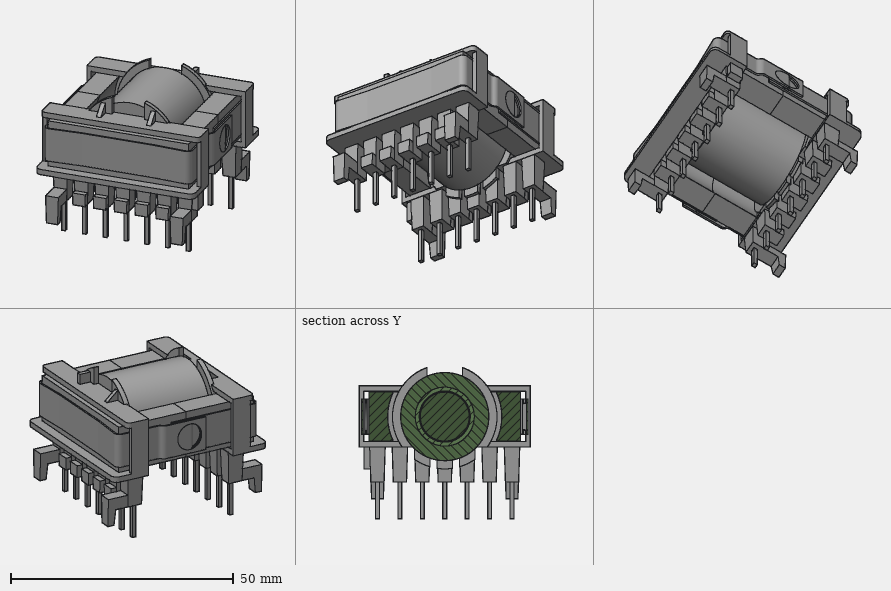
import cadquery as cq
import math


CORE_WIDTH = 34.1
CORE_HEIGHT = 11.1
HALF_CORE_LENGTH = 17.5
CENTER_LEG_DIAMETER = 11.1
WINDOW_DIAMETER = 25.6
WINDOW_DEPTH = 11.8

BORE_DIAMETER = 11.4
TUBE_WALL = 1.0
TUBE_DIAMETER = BORE_DIAMETER + 2 * TUBE_WALL
FLANGE_DIAMETER = 23.5
FLANGE_INNER_Y = 10.5
FLANGE_OUTER_Y = 11.7
WIRE_NOTCH_WIDTH = 7.9

WINDING_DIAMETER = 19.9

FRAME_WIDTH = 38.5
FRAME_INNER_Y = 11.0
WALL = 1.3
POST_WIDTH = 1.05
POST_OUTER_Y = 15.45
TOP_BAR_OUTER_Y = 16.45
TOP_BAR_CORNER_RADIUS = TOP_BAR_OUTER_Y - POST_OUTER_Y
PLATE_OUTER_Y = 20.0
PLATE_CORNER_RADIUS = 1.5
CORE_TOP_GAP = 0.1
PLATE_TOP_Z = -CORE_HEIGHT / 2
PLATE_BOTTOM_Z = PLATE_TOP_Z - WALL
TOP_BAR_BOTTOM_Z = CORE_HEIGHT / 2 + CORE_TOP_GAP
TOP_BAR_TOP_Z = TOP_BAR_BOTTOM_Z + WALL

RIB_X = 6.1
RIB_WIDTH = 1.1
RIB_OUTER_Y = 14.45
RIB_TOP_Z = 9.4

PINS_PER_ROW = 7
PIN_PITCH = 5.05
PIN_SIZE = 0.9
PIN_Y = 12.7
PIN_BOTTOM_Z = -22.95
BLOCK_WIDTH = 3.5
BLOCK_DEPTH = 4.0
BLOCK_Y = 13.1
BLOCK_BOTTOM_Z = -14.7
DRAFT_ANGLE = 1.8
STEP_TOP_Z = -11.8
LEDGE_INSET = 0.05
STEP_OUTER_Y = 16.3
FOOT_OUTER_Y = PLATE_OUTER_Y
FOOT_BOTTOM_Z = -18.5
FOOT_ROOT_THICKNESS = 2.0
FOOT_TIP_THICKNESS = 1.6
KEY_OUTER_X = 18.15
KEY_DEPTH = 3.2

CLIP_HEIGHT = 8.0
CLIP_THICKNESS = 0.4
CLIP_ARM_X = 17.7
CLIP_ARM_END_Y = 4.2
CLIP_BACK_Y = HALF_CORE_LENGTH + CLIP_THICKNESS / 2
CLIP_FLAT_HALF_WIDTH = 8.7
CLIP_CORNER_RISE = 0.5
CLIP_BEND_RADIUS = 1.0
JOG = 0.85
ARM_JOG_Y = 6.9
OUTER_ARM_X = CLIP_ARM_X + JOG

LATCH_DIAMETER = 6.2
LATCH_JOG_Y = -0.85
LATCH_BEND_RADIUS = 0.3

PIN_XS = [(i - (PINS_PER_ROW - 1) / 2) * PIN_PITCH for i in range(PINS_PER_ROW)]
CORNER_XS = (PIN_XS[0], PIN_XS[-1])


def span_box(x0, x1, y0, y1, z0, z1):
    """Box between two opposite corners."""
    return cq.Workplane("XY").box(x1 - x0, y1 - y0, z1 - z0, centered=False).translate((x0, y0, z0))


def cylinder_along_y(diameter, y0, y1):
    return cq.Workplane("XZ", origin=(0, y0, 0)).circle(diameter / 2).extrude(y0 - y1)


def turned(body):
    """Copy of a body turned half a revolution about Z."""
    return body.rotate((0, 0, 0), (0, 0, 1), 180)


def make_core_half():
    """E-shaped half on the +Y side with a round centre leg."""
    block = span_box(-CORE_WIDTH / 2, CORE_WIDTH / 2, 0, HALF_CORE_LENGTH, -CORE_HEIGHT / 2, CORE_HEIGHT / 2)
    window = cylinder_along_y(WINDOW_DIAMETER, 0, WINDOW_DEPTH)
    leg = cylinder_along_y(CENTER_LEG_DIAMETER, 0, HALF_CORE_LENGTH)
    return block.cut(window).union(leg)


def make_winding():
    coil = cylinder_along_y(WINDING_DIAMETER, -FLANGE_INNER_Y, FLANGE_INNER_Y)
    return coil.cut(cylinder_along_y(TUBE_DIAMETER, -FLANGE_INNER_Y, FLANGE_INNER_Y))


def make_frame():
    """Base plate, two posts and top bar around the back of the core, on the +Y side."""
    half_width = FRAME_WIDTH / 2
    plate = span_box(-half_width, half_width, FRAME_INNER_Y, PLATE_OUTER_Y, PLATE_BOTTOM_Z, PLATE_TOP_Z)
    plate = plate.edges("|Z and >Y").fillet(PLATE_CORNER_RADIUS)
    bar = span_box(-half_width, half_width, FRAME_INNER_Y, TOP_BAR_OUTER_Y, TOP_BAR_BOTTOM_Z, TOP_BAR_TOP_Z)
    bar = bar.edges("|Z and >Y").fillet(TOP_BAR_CORNER_RADIUS)
    frame = plate.union(bar)
    for x0 in (-half_width, half_width - POST_WIDTH):
        frame = frame.union(
            span_box(x0, x0 + POST_WIDTH, FRAME_INNER_Y, POST_OUTER_Y, PLATE_TOP_Z, TOP_BAR_BOTTOM_Z)
        )
    return frame


def make_flange():
    """Round flange on the +Y side with wire notches above the bar and below the plate."""
    radius = FLANGE_DIAMETER / 2
    flange = cylinder_along_y(FLANGE_DIAMETER, FLANGE_INNER_Y, FLANGE_OUTER_Y)
    half_notch = WIRE_NOTCH_WIDTH / 2
    flange = flange.cut(
        span_box(-half_notch, half_notch, FLANGE_INNER_Y, FLANGE_OUTER_Y, TOP_BAR_TOP_Z, radius)
    )
    lower_part = span_box(-radius, radius, FLANGE_INNER_Y, FLANGE_OUTER_Y, -radius, PLATE_BOTTOM_Z)
    middle = PINS_PER_ROW // 2
    for x in PIN_XS[middle - 1:middle + 2]:
        lower_part = lower_part.cut(
            span_box(
                x - BLOCK_WIDTH / 2, x + BLOCK_WIDTH / 2,
                FLANGE_INNER_Y, FLANGE_OUTER_Y, -radius, PLATE_BOTTOM_Z,
            )
        )
    return flange.cut(lower_part)


def make_ramp_rib(x):
    """Rib that slopes from the flange down to the top bar."""
    return (
        cq.Workplane("YZ", origin=(x - RIB_WIDTH / 2, 0, 0))
        .moveTo(FLANGE_OUTER_Y, TOP_BAR_TOP_Z)
        .lineTo(RIB_OUTER_Y, TOP_BAR_TOP_Z)
        .lineTo(FLANGE_OUTER_Y, RIB_TOP_Z)
        .close()
        .extrude(RIB_WIDTH)
    )


def make_square_rib(x):
    return span_box(
        x - RIB_WIDTH / 2, x + RIB_WIDTH / 2, FLANGE_OUTER_Y, RIB_OUTER_Y, TOP_BAR_TOP_Z, RIB_TOP_Z
    )


def drafted_sides(x):
    """Wedge that gives a ledge its narrowing width, slightly inside the sides of its block."""
    height = PLATE_BOTTOM_Z - FOOT_BOTTOM_Z
    half_top = BLOCK_WIDTH / 2 - LEDGE_INSET
    half_bottom = half_top - height * math.tan(math.radians(DRAFT_ANGLE))
    return (
        cq.Workplane("XZ")
        .polyline([
            (x - half_top, PLATE_BOTTOM_Z),
            (x + half_top, PLATE_BOTTOM_Z),
            (x + half_bottom, FOOT_BOTTOM_Z),
            (x - half_bottom, FOOT_BOTTOM_Z),
        ])
        .close()
        .extrude(-FOOT_OUTER_Y)
    )


def make_step(x):
    """Short ledge on the outer side of a middle terminal block."""
    half_width = BLOCK_WIDTH / 2
    ledge = span_box(x - half_width, x + half_width, BLOCK_Y, STEP_OUTER_Y, BLOCK_BOTTOM_Z, STEP_TOP_Z)
    return ledge.intersect(drafted_sides(x))


def make_foot(x):
    """Long ledge with a downward leg on the outer side of a corner terminal block."""
    profile = (
        cq.Workplane("YZ", origin=(x - BLOCK_WIDTH / 2, 0, 0))
        .polyline([
            (BLOCK_Y, STEP_TOP_Z),
            (FOOT_OUTER_Y, STEP_TOP_Z),
            (FOOT_OUTER_Y, FOOT_BOTTOM_Z),
            (FOOT_OUTER_Y - FOOT_TIP_THICKNESS, FOOT_BOTTOM_Z),
            (FOOT_OUTER_Y - FOOT_ROOT_THICKNESS, BLOCK_BOTTOM_Z),
            (BLOCK_Y, BLOCK_BOTTOM_Z),
        ])
        .close()
        .extrude(BLOCK_WIDTH)
    )
    return profile.intersect(drafted_sides(x))


def make_terminal(x):
    """Drafted block with its outer ledge and square pin, on the +Y side."""
    block = (
        cq.Workplane("XY", origin=(x, BLOCK_Y, PLATE_BOTTOM_Z))
        .rect(BLOCK_WIDTH, BLOCK_DEPTH)
        .extrude(BLOCK_BOTTOM_Z - PLATE_BOTTOM_Z, taper=DRAFT_ANGLE)
    )
    pin = (
        cq.Workplane("XY", origin=(x, PIN_Y, PIN_BOTTOM_Z))
        .rect(PIN_SIZE, PIN_SIZE)
        .extrude(BLOCK_BOTTOM_Z - PIN_BOTTOM_Z)
    )
    ledge = make_foot(x) if x in CORNER_XS else make_step(x)
    return block.union(ledge).union(pin)


def make_key():
    """Polarity key beside the corner terminal at +X, -Y."""
    return span_box(
        CORNER_XS[1], KEY_OUTER_X,
        -BLOCK_Y - KEY_DEPTH / 2, -BLOCK_Y + KEY_DEPTH / 2,
        STEP_TOP_Z, PLATE_BOTTOM_Z,
    )


def make_former_end():
    """Everything that both ends of the coil former share, on the +Y side."""
    end = make_frame().union(make_flange())
    for x in PIN_XS:
        end = end.union(make_terminal(x))
    return end.union(make_ramp_rib(-RIB_X))


def make_coil_former():
    end = make_former_end()
    former = end.union(turned(end))
    former = former.union(cylinder_along_y(TUBE_DIAMETER, -FLANGE_OUTER_Y, FLANGE_OUTER_Y))
    former = former.union(make_square_rib(RIB_X))
    former = former.union(turned(make_ramp_rib(RIB_X)))
    former = former.union(make_key())
    return former.cut(cylinder_along_y(BORE_DIAMETER, -FLANGE_OUTER_Y, FLANGE_OUTER_Y))


def offset_path(path, distance):
    """Mitred offset of an open path; a positive distance lies to its left."""
    angles = [math.atan2(b[1] - a[1], b[0] - a[0]) for a, b in zip(path, path[1:])]
    shifted = []
    for i, (x, y) in enumerate(path):
        before = angles[max(i - 1, 0)]
        after = angles[min(i, len(angles) - 1)]
        normal = (before + after) / 2 + math.pi / 2
        reach = distance / math.cos((after - before) / 2)
        shifted.append((x + reach * math.cos(normal), y + reach * math.sin(normal)))
    return shifted


def bent_strip(path, bends, bend_radius):
    """Upright strip along a path, rounded at the listed bends.

    Each bend is (point index, turn), where turn is 1 for a left turn and -1 for a right turn.
    """
    left = offset_path(path, CLIP_THICKNESS / 2)
    right = offset_path(path, -CLIP_THICKNESS / 2)
    strip = (
        cq.Workplane("XY", origin=(0, 0, -CLIP_HEIGHT / 2))
        .polyline(left + right[::-1])
        .close()
        .extrude(CLIP_HEIGHT)
    )
    for index, turn in bends:
        inside, outside = (left, right) if turn > 0 else (right, left)
        for side, radius in ((inside, bend_radius), (outside, bend_radius + CLIP_THICKNESS)):
            edge = cq.selectors.NearestToPointSelector((*side[index], 0))
            strip = strip.edges("|Z").edges(edge).fillet(radius)
    return strip


def jog_points(jog_y):
    """Outer and inner point of a 45 degree jog on the -X side."""
    return [(-OUTER_ARM_X, jog_y - JOG / 2), (-CLIP_ARM_X, jog_y + JOG / 2)]


def latch_cylinder(x_sign):
    """Round outline of a latch through both arms on one side."""
    x0, x1 = sorted((x_sign * CORE_WIDTH / 2, x_sign * FRAME_WIDTH / 2))
    return cq.Workplane("YZ", origin=(x0, 0, 0)).circle(LATCH_DIAMETER / 2).extrude(x1 - x0)


def make_clip():
    """Clip around the +Y core half; its -X arm jogs outward over the other clip's arm."""
    corner_y = CLIP_BACK_Y + CLIP_CORNER_RISE
    path = [
        (-OUTER_ARM_X, -CLIP_ARM_END_Y),
        *jog_points(ARM_JOG_Y),
        (-CLIP_ARM_X, corner_y),
        (-CLIP_FLAT_HALF_WIDTH, CLIP_BACK_Y),
        (CLIP_FLAT_HALF_WIDTH, CLIP_BACK_Y),
        (CLIP_ARM_X, corner_y),
        (CLIP_ARM_X, -CLIP_ARM_END_Y),
    ]
    clip = bent_strip(path, [(1, -1), (2, 1), (3, -1), (6, -1)], CLIP_BEND_RADIUS)
    for x_sign in (-1, 1):
        clip = clip.cut(latch_cylinder(x_sign))
    return clip


def make_latch():
    """Disc on the -X side: its +Y part fills the outer arm's hole, the rest the inner arm's hole."""
    radius = LATCH_DIAMETER / 2
    path = [
        (-CLIP_ARM_X, -radius),
        (-CLIP_ARM_X, LATCH_JOG_Y - JOG / 2),
        (-OUTER_ARM_X, LATCH_JOG_Y + JOG / 2),
        (-OUTER_ARM_X, radius),
    ]
    strip = bent_strip(path, [(1, 1), (2, -1)], LATCH_BEND_RADIUS)
    return strip.intersect(latch_cylinder(-1))


coil_former = make_coil_former()
winding = make_winding()
paired_bodies = []
for body in (make_core_half(), make_clip(), make_latch()):
    paired_bodies += [body.val(), turned(body).val()]

result = cq.Compound.makeCompound([coil_former.val(), winding.val(), *paired_bodies])